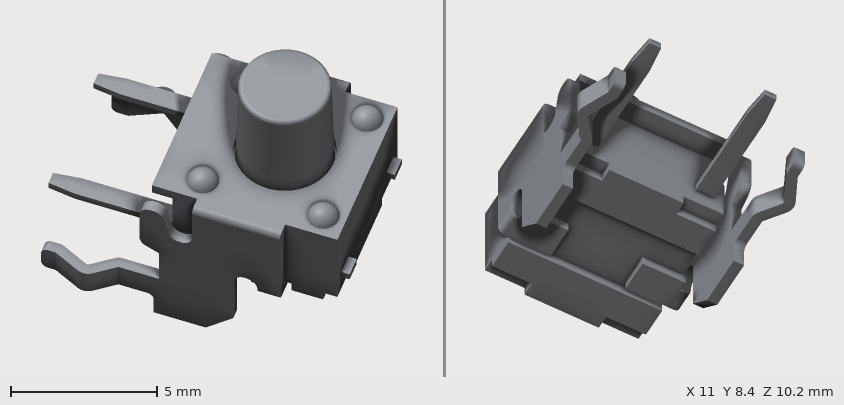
import cadquery as cq
import math


housing_size = 6.0
housing_half = housing_size / 2
foot_height = 0.385
foot_inner_x = 1.33
foot_notch_x = 0.52
foot_notch_y = 1.45

sheet = 0.4
cover_top = 3.67
cover_bottom = cover_top - sheet
cover_left = -3.75
wall_outer = 3.54
wall_inner = wall_outer - sheet
wall_left = -2.1
wall_right = 1.1
bend_radius = 0.24

relief_radius = 0.44
relief_right = 0.285
relief_left = relief_right - 2 * relief_radius
relief_top = 0.7

hook_left = -4.0
hook_top = 2.99
hook_top_right = -3.206
hook_lower_corner_z = 0.977
hook_slot_floor = 1.66
hook_slot_floor_left = -2.874
hook_radius = 0.4

leg_left = -3.3
leg_shoulder_z = 0.67
leg_foot_left = -3.49
leg_bottom = -2.82
leg_chamfer = 1.0
leg_root_radius = 0.25

arm_top = -0.81
arm_height = 1.0
arm_bottom = arm_top - arm_height
arm_tip_x = -7.52
arm_tip_inner_y = 3.3
arm_tip_radius = 0.25
arm_tip_slope = math.radians(25)
arm_root_slope = math.radians(37)
arm_peak_x = -5.8
arm_peak_y = 4.2
arm_peak_radius = 0.5
arm_root_radius = 0.4

tab_left = -0.095

pin_left = -7.7
pin_right = 3.3
pin_taper_length = 1.0
pin_width = 0.7
pin_tip_width = 0.45
pin_spacing = 4.5
pin_bottom = 1.03
pin_thickness = 0.285

rivet_offset = 2.19
rivet_radius = 0.56
rivet_height = 0.39

plunger_hole_radius = 1.76
plunger_base_radius = 1.71
plunger_top_radius = 1.6
plunger_top = 7.35
plunger_fillet = 0.16


def box(x_range, y_range, z_range):
    """Axis-aligned box between the given limits."""
    size = [high - low for low, high in (x_range, y_range, z_range)]
    corner = (x_range[0], y_range[0], z_range[0])
    return cq.Workplane("XY").box(*size, centered=False).translate(corner)


def both_sides(solid):
    """The solid together with its mirror image across Y = 0."""
    return solid.union(solid.mirror("XZ"))


def make_housing():
    across = (-housing_half, housing_half)
    body = box(across, across, (foot_height, cover_bottom))
    foot = box((foot_inner_x, housing_half), across, (0, foot_height))
    notch = box(
        (housing_half - foot_notch_x, housing_half),
        (foot_notch_y, housing_half),
        (0, foot_height),
    )
    foot = foot.cut(both_sides(notch))
    return body.union(foot).union(foot.mirror("YZ"))


def make_cover_plate():
    z_range = (cover_bottom, cover_top)
    plate = box((cover_left, housing_half), (-housing_half, housing_half), z_range)
    wings = box((wall_left, wall_right), (-wall_inner, wall_inner), z_range)
    hole = (
        cq.Workplane("XY", origin=(0, 0, cover_bottom))
        .circle(plunger_hole_radius)
        .extrude(sheet)
    )
    return plate.union(wings).cut(hole)


def fillet_near(solid, points, radius, axis):
    """Round the edges parallel to an axis that lie nearest to the given points."""
    for point in points:
        edge = solid.edges("|" + axis).edges(cq.selectors.NearestToPointSelector(point))
        solid = edge.fillet(radius)
    return solid


def make_wall():
    """Side wall with its hook and leg, on the +Y side."""
    relief_center_x = relief_right - relief_radius
    relief_spring_z = relief_top - relief_radius
    hook_corners = [
        (hook_left, hook_lower_corner_z),
        (hook_left, hook_top),
        (hook_top_right, hook_top),
        (hook_slot_floor_left, hook_slot_floor),
        (wall_left, hook_slot_floor),
    ]
    leg_root = (leg_foot_left, arm_bottom)

    wall = (
        cq.Workplane("XZ", origin=(0, wall_outer, 0))
        .moveTo(wall_left, cover_top)
        .lineTo(wall_right, cover_top)
        .lineTo(wall_right, 0)
        .lineTo(relief_right, 0)
        .lineTo(relief_right, relief_spring_z)
        .threePointArc((relief_center_x, relief_top), (relief_left, relief_spring_z))
        .lineTo(relief_left, leg_bottom + leg_chamfer)
        .lineTo(relief_left - leg_chamfer, leg_bottom)
        .lineTo(leg_foot_left, leg_bottom)
        .lineTo(*leg_root)
        .lineTo(hook_left, arm_bottom)
        .lineTo(hook_left, arm_top)
        .lineTo(leg_left, arm_top)
        .lineTo(leg_left, leg_shoulder_z)
        .polyline(hook_corners, includeCurrent=True)
        .close()
        .extrude(sheet)
    )

    wall_middle_y = wall_outer - sheet / 2
    hook_points = [(x, wall_middle_y, z) for x, z in hook_corners]
    wall = fillet_near(wall, hook_points, hook_radius, "Y")
    root_point = (leg_root[0], wall_middle_y, leg_root[1])
    wall = fillet_near(wall, [root_point], leg_root_radius, "Y")

    top_bend = ((wall_left + wall_right) / 2, wall_outer, cover_top)
    bottom_bend = ((relief_right + wall_right) / 2, wall_outer, 0)
    return fillet_near(wall, [top_bend, bottom_bend], bend_radius, "X")


def make_arm():
    """Snap arm on the +Y side: a strip bent out to a rounded peak."""
    half_turn = (arm_root_slope + arm_tip_slope) / 2
    peak_tilt = (arm_root_slope - arm_tip_slope) / 2
    miter = sheet / math.cos(half_turn)
    center_drop = (arm_peak_radius - sheet) / math.cos(half_turn) * math.cos(peak_tilt)
    peak_inner_y = arm_peak_y - arm_peak_radius + center_drop
    peak_outer = (
        arm_peak_x + miter * math.sin(peak_tilt),
        peak_inner_y + miter * math.cos(peak_tilt),
    )
    tip_bend_x = arm_peak_x - (peak_inner_y - arm_tip_inner_y) / math.tan(arm_tip_slope)
    root_bend_x = arm_peak_x + (peak_inner_y - wall_inner) / math.tan(arm_root_slope)

    inner_side = [
        (arm_tip_x, arm_tip_inner_y),
        (tip_bend_x, arm_tip_inner_y),
        (arm_peak_x, peak_inner_y),
        (root_bend_x, wall_inner),
        (hook_left, wall_inner),
    ]
    outer_side = [
        (hook_left, wall_outer),
        (root_bend_x + sheet * math.tan(arm_root_slope / 2), wall_outer),
        peak_outer,
        (tip_bend_x - sheet * math.tan(arm_tip_slope / 2), arm_tip_inner_y + sheet),
        (arm_tip_x, arm_tip_inner_y + sheet),
    ]
    arm = (
        cq.Workplane("XY", origin=(0, 0, arm_bottom))
        .polyline(inner_side + outer_side)
        .close()
        .extrude(arm_height)
    )
    middle_z = arm_bottom + arm_height / 2
    arm = fillet_near(arm, [(*peak_outer, middle_z)], arm_peak_radius, "Z")
    arm = fillet_near(arm, [(arm_peak_x, peak_inner_y, middle_z)], arm_peak_radius - sheet, "Z")
    arm = fillet_near(arm, [(root_bend_x, wall_inner, middle_z)], arm_root_radius, "Z")
    return arm.faces("<X").edges("|Y").fillet(arm_tip_radius)


def make_tab():
    """Tab on the +Y side, folded inward under the housing."""
    return box((tab_left, wall_right), (foot_notch_y, wall_inner), (0, foot_height))


def make_pin():
    """Flat contact pin on the +Y side with a tapered tip."""
    half_tip = pin_tip_width / 2
    half_width = pin_width / 2
    taper_end = pin_left + pin_taper_length
    return (
        cq.Workplane("XY", origin=(0, pin_spacing / 2, pin_bottom))
        .moveTo(pin_left, -half_tip)
        .lineTo(taper_end, -half_width)
        .lineTo(pin_right, -half_width)
        .lineTo(pin_right, half_width)
        .lineTo(taper_end, half_width)
        .lineTo(pin_left, half_tip)
        .close()
        .extrude(pin_thickness)
    )


def make_rivets():
    """Four spherical caps on top of the cover."""
    sphere_radius = (rivet_radius**2 + rivet_height**2) / (2 * rivet_height)
    center_z = cover_top + rivet_height - sphere_radius
    base_angle = math.degrees(math.asin((cover_top - center_z) / sphere_radius))
    cap = cq.Solid.makeSphere(sphere_radius, angleDegrees1=base_angle, angleDegrees2=90)
    rivet_spacing = 2 * rivet_offset
    return (
        cq.Workplane("XY", origin=(0, 0, center_z))
        .rarray(rivet_spacing, rivet_spacing, 2, 2)
        .eachpoint(lambda location: cap.moved(location), combine=False)
    )


def make_plunger():
    return (
        cq.Workplane("XY", origin=(0, 0, cover_bottom))
        .circle(plunger_base_radius)
        .workplane(offset=plunger_top - cover_bottom)
        .circle(plunger_top_radius)
        .loft(ruled=True)
        .faces(">Z")
        .edges()
        .fillet(plunger_fillet)
    )


result = make_housing().union(make_cover_plate())
for make_side_piece in (make_wall, make_arm, make_tab, make_pin):
    result = result.union(both_sides(make_side_piece()))
result = result.union(make_rivets()).union(make_plunger())